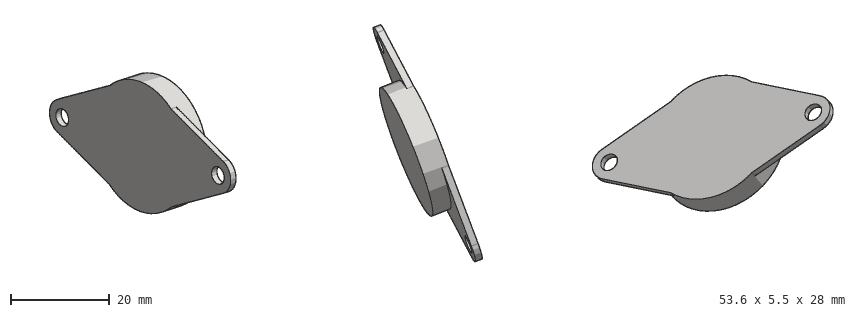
import cadquery as cq
import math

boss_diameter = 28.0
overall_length = 53.57
overall_depth = 5.5
flange_thickness = 1.5
hole_spacing = 46.0
hole_diameter = 3.7
shoulder_x = 9.15

boss_radius = boss_diameter / 2
hole_x = hole_spacing / 2
end_radius = overall_length / 2 - hole_x
shoulder_z = math.sqrt(boss_radius**2 - shoulder_x**2)

shoulder_distance = math.hypot(hole_x - shoulder_x, shoulder_z)
shoulder_direction = math.atan2(shoulder_z, shoulder_x - hole_x)
tangent_angle = shoulder_direction - math.acos(end_radius / shoulder_distance)
tangent_x = hole_x + end_radius * math.cos(tangent_angle)
tangent_z = end_radius * math.sin(tangent_angle)


def front_plane():
    """Sketch plane on the front face (Y = 0), with X right, Z up and material toward +Y."""
    return cq.Workplane("XZ")


def make_flange():
    """Thin flange tapering from a chord-to-chord middle, inside the boss, to rounded ears."""
    outline = (
        front_plane()
        .moveTo(-shoulder_x, shoulder_z)
        .lineTo(shoulder_x, shoulder_z)
        .lineTo(tangent_x, tangent_z)
        .threePointArc((overall_length / 2, 0), (tangent_x, -tangent_z))
        .lineTo(shoulder_x, -shoulder_z)
        .lineTo(-shoulder_x, -shoulder_z)
        .lineTo(-tangent_x, -tangent_z)
        .threePointArc((-overall_length / 2, 0), (-tangent_x, tangent_z))
        .close()
    )
    return outline.extrude(-flange_thickness)


def make_boss():
    """Round boss through the full depth, flush with the flange's front face."""
    return front_plane().circle(boss_radius).extrude(-overall_depth)


def make_mounting_holes():
    """One through hole in each flange ear."""
    return (
        front_plane()
        .pushPoints([(-hole_x, 0), (hole_x, 0)])
        .circle(hole_diameter / 2)
        .extrude(-flange_thickness)
    )


result = make_flange().union(make_boss()).cut(make_mounting_holes()).clean()